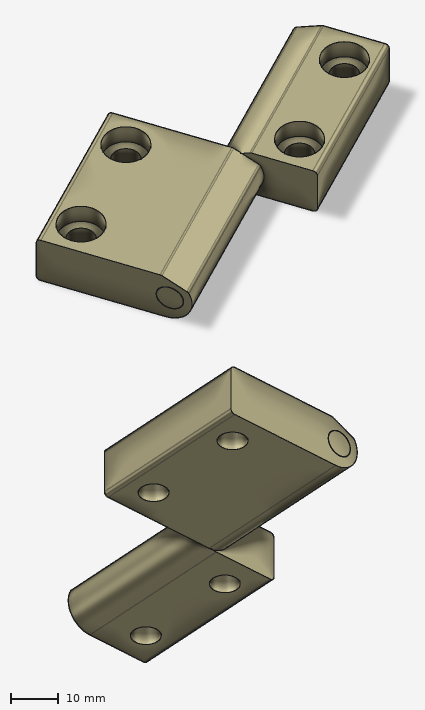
import cadquery as cq
import math


total_width = 47.0
total_length = 80.0
thickness = 12.0
leaf_length = total_length / 2

wide_leaf_width = 35.0
narrow_leaf_width = 22.0
bevel_angle = math.radians(25.0)
bevel_start = 2.0
bevel_blend_radius = 1.0
nose_blend_radius = 1.0
corner_radius = 1.0

screw_diameter = 6.4
counterbore_diameter = 10.4
counterbore_depth = 4.5
screw_edge_distance = 7.0
screw_end_distance = 7.5

pin_diameter = 6.0
wide_leaf_bore = 6.2
narrow_leaf_bore = pin_diameter

half_thickness = thickness / 2
knuckle_reach = (wide_leaf_width + narrow_leaf_width - total_width) / 2
nose_center_x = knuckle_reach - half_thickness


def bevel_nose_corner():
    """X and Z of the sharp corner where the bevel meets the round nose of the knuckle."""
    bevel_drop = (nose_center_x + bevel_start) * math.tan(bevel_angle)
    bevel_distance = (half_thickness - bevel_drop) * math.cos(bevel_angle)
    corner_angle = math.pi / 2 - bevel_angle - math.acos(bevel_distance / half_thickness)
    return (
        nose_center_x + half_thickness * math.cos(corner_angle),
        half_thickness * math.sin(corner_angle),
    )


def round_long_edge(body, corner, radius):
    """Fillet the edge that runs along Y through the given (X, Z) corner."""
    corner_x, corner_z = corner
    edge = cq.selectors.NearestToPointSelector((corner_x, leaf_length / 2, corner_z))
    return body.edges("|Y").edges(edge).fillet(radius)


def make_leaf_blank(width):
    """Solid leaf in 0 <= Y <= leaf_length, with its knuckle toward +X."""
    outer_x = knuckle_reach - width
    nose_corner = bevel_nose_corner()
    bevel_corner = (-bevel_start, half_thickness)
    blank = (
        cq.Workplane("XZ", origin=(0, leaf_length, 0))
        .moveTo(outer_x, -half_thickness)
        .lineTo(nose_center_x, -half_thickness)
        .threePointArc((knuckle_reach, 0), nose_corner)
        .lineTo(*bevel_corner)
        .lineTo(outer_x, half_thickness)
        .close()
        .extrude(leaf_length)
    )
    blank = round_long_edge(blank, nose_corner, nose_blend_radius)
    blank = round_long_edge(blank, bevel_corner, bevel_blend_radius)
    return blank.edges("|Y and <X").fillet(corner_radius)


def make_leaf(width, bore_diameter):
    """Leaf with a through bore for the pin and two counterbored screw holes."""
    bore = (
        cq.Workplane("XZ", origin=(0, leaf_length, 0))
        .circle(bore_diameter / 2)
        .extrude(leaf_length)
    )
    screw_x = knuckle_reach - width + screw_edge_distance
    screw_points = [
        (screw_x, screw_end_distance),
        (screw_x, leaf_length - screw_end_distance),
    ]
    return (
        make_leaf_blank(width)
        .cut(bore)
        .faces(">Z")
        .workplane(origin=(0, 0, half_thickness))
        .pushPoints(screw_points)
        .cboreHole(screw_diameter, counterbore_diameter, counterbore_depth)
    )


def make_pin():
    """Pin running the full length of both leaves."""
    return (
        cq.Workplane("XZ", origin=(0, leaf_length, 0))
        .circle(pin_diameter / 2)
        .extrude(total_length)
    )


wide_leaf = make_leaf(wide_leaf_width, wide_leaf_bore).translate((0, -leaf_length, 0))
narrow_leaf = make_leaf(narrow_leaf_width, narrow_leaf_bore).mirror("YZ")
pin = make_pin()

result = cq.Compound.makeCompound([wide_leaf.val(), narrow_leaf.val(), pin.val()])